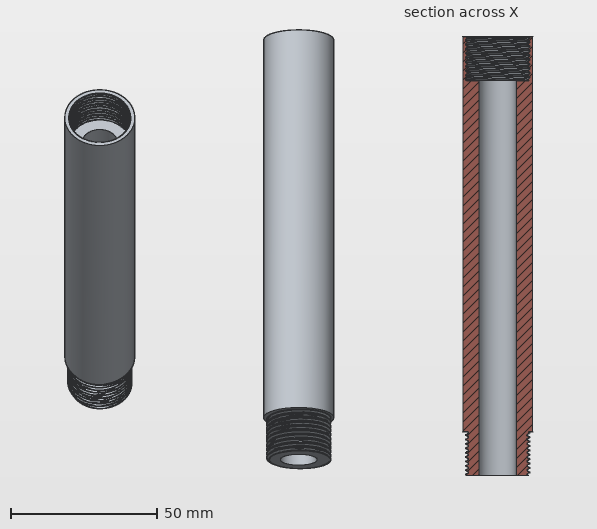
import cadquery as cq
import math

total_length = 150.0
body_diameter = 24.0
bore_diameter = 12.6

thread_length = 15.0
thread_pitch = 1.5
crest_width = 0.22
root_width = 0.38
flank_steps = 12
male_diameter = 22.0
male_depth = 0.9

female_diameter = 22.0
female_depth = 0.52
lip_diameter = 21.2
lip_length = 0.5


def threaded_rod(major_diameter, thread_depth, length, base_z):
    """Right-hand threaded rod, made by twisting its constant cross-section along Z."""
    crest_radius = major_diameter / 2
    root_radius = crest_radius - thread_depth

    crest_half_angle = math.pi * crest_width / thread_pitch
    root_half_angle = math.pi * root_width / thread_pitch
    flank_angle = math.pi - crest_half_angle - root_half_angle

    def polar(radius, angle):
        return (radius * math.cos(angle), radius * math.sin(angle))

    def flank_point(fraction, side):
        """Point at a fraction of the way down a straight flank, a spiral in the section."""
        radius = crest_radius - thread_depth * fraction
        return polar(radius, side * (crest_half_angle + flank_angle * fraction))

    steps = range(1, flank_steps + 1)
    falling_flank = [flank_point(i / flank_steps, 1) for i in steps]
    rising_flank = [flank_point(1 - i / flank_steps, -1) for i in steps]
    section = (
        cq.Workplane("XY")
        .workplane(offset=base_z)
        .moveTo(*polar(crest_radius, -crest_half_angle))
        .threePointArc(polar(crest_radius, 0), polar(crest_radius, crest_half_angle))
        .spline(falling_flank, includeCurrent=True)
        .threePointArc(polar(root_radius, math.pi), polar(root_radius, math.pi + root_half_angle))
        .spline(rising_flank, includeCurrent=True)
        .close()
    )
    return section.twistExtrude(length, 360 * length / thread_pitch)


body = (
    cq.Workplane("XY")
    .workplane(offset=thread_length)
    .circle(body_diameter / 2)
    .extrude(total_length - thread_length)
)

socket_floor = total_length - thread_length
socket_thread = threaded_rod(female_diameter, female_depth, thread_length - lip_length, socket_floor)
lip = (
    cq.Workplane("XY")
    .workplane(offset=total_length - lip_length)
    .circle(lip_diameter / 2)
    .extrude(lip_length)
)

spigot = threaded_rod(male_diameter, male_depth, thread_length, 0)

bore = cq.Workplane("XY").circle(bore_diameter / 2).extrude(total_length)

result = body.cut(socket_thread).cut(lip).union(spigot).cut(bore)